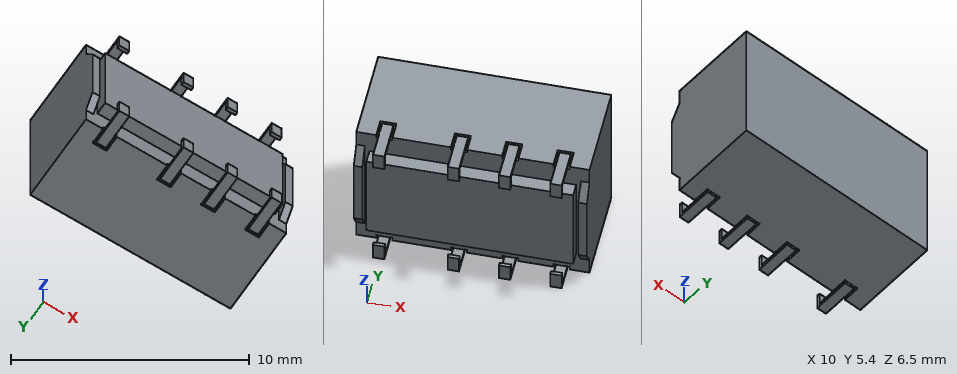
import cadquery as cq

length = 10.0
depth = 5.4
height = 6.5

pin_reach = 1.1
housing_depth = depth - pin_reach
housing_face = -housing_depth

plate_margin_x = 0.57
plate_margin_z = 1.08
plate_thickness = 0.6

wing_width = 0.37
wing_reach = 0.5
wing_root_margin = 0.8
wing_tip_margin = 1.6

pin_centers = (-3.8, -0.6, 1.6, 3.8)
pin_width = 0.49
pin_thickness = 0.16
pin_foot = 0.8
pin_embed = 0.7

recess_clearance = 0.1
recess_width = pin_width + 2 * recess_clearance
recess_length = pin_embed + recess_clearance


def box_between(x_range, y_range, z_range):
    """Box spanning the given (low, high) range along each axis."""
    sizes = [high - low for low, high in (x_range, y_range, z_range)]
    corner = (x_range[0], y_range[0], z_range[0])
    return cq.Workplane("XY").box(*sizes, centered=False).translate(corner)


def centered_range(center, width):
    return (center - width / 2, center + width / 2)


def extrude_profile(points, center, width):
    """Extrude a closed (Y, Z) outline along X, centred on the given X."""
    start = center - width / 2
    return cq.Workplane("YZ").workplane(offset=start).polyline(points).close().extrude(width)


def base_plate():
    return box_between(
        centered_range(0, length - 2 * plate_margin_x),
        (housing_face - plate_thickness, housing_face),
        centered_range(0, height - 2 * plate_margin_z),
    )


def wing(center):
    root = height / 2 - wing_root_margin
    tip = height / 2 - wing_tip_margin
    outline = [
        (housing_face, root),
        (housing_face - wing_reach, tip),
        (housing_face - wing_reach, -tip),
        (housing_face, -root),
    ]
    return extrude_profile(outline, center, wing_width)


def recess(center):
    return box_between(
        centered_range(center, recess_width),
        (housing_face, housing_face + recess_length),
        (height / 2 - pin_thickness, height / 2),
    )


def pin(center):
    back = housing_face + pin_embed
    front = -depth
    top = height / 2
    outline = [
        (back, top),
        (front, top),
        (front, top - pin_foot),
        (front + pin_thickness, top - pin_foot),
        (front + pin_thickness, top - pin_thickness),
        (back, top - pin_thickness),
    ]
    return extrude_profile(outline, center, pin_width)


housing = box_between(centered_range(0, length), (housing_face, 0), centered_range(0, height))
result = housing.union(base_plate())

wing_center = (length - wing_width) / 2
for side in (-1, 1):
    result = result.union(wing(side * wing_center))

for pin_center in pin_centers:
    top_recess = recess(pin_center)
    top_pin = pin(pin_center)
    result = result.cut(top_recess).cut(top_recess.mirror("XY"))
    result = result.union(top_pin).union(top_pin.mirror("XY"))